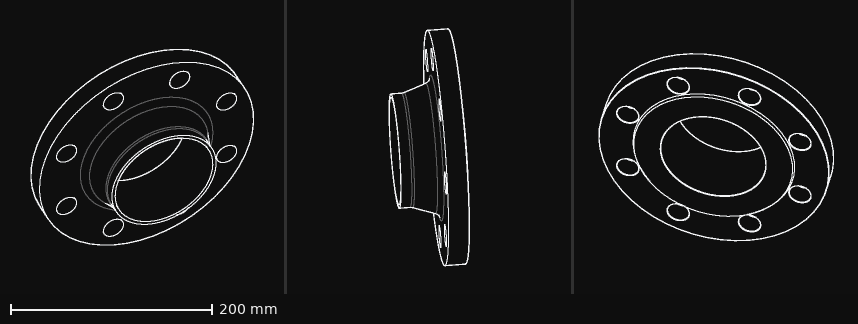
import cadquery as cq
import math


total_length = 65.0
flange_diameter = 235.0
pipe_outer_diameter = 114.3
bore_diameter = 107.1

raised_face_height = 3.0
raised_face_diameter = 162.0
raised_face_rim_angle = 25.0
flange_back = 24.0
edge_chamfer = 0.5

hub_root_diameter = 134.0
weld_end_length = 12.0
hub_fillet = 8.0

bolt_circle_diameter = 190.0
bolt_hole_diameter = 22.0
bolt_count = 8

flange_radius = flange_diameter / 2
pipe_radius = pipe_outer_diameter / 2
bore_radius = bore_diameter / 2
face_radius = raised_face_diameter / 2
raised_face_flare = raised_face_height * math.tan(math.radians(raised_face_rim_angle))
hub_root_radius = hub_root_diameter / 2
cone_end = total_length - weld_end_length

cone_angle = math.atan2(hub_root_radius - pipe_radius, cone_end - flange_back)
root_setback = hub_fillet * math.tan((math.pi / 2 - cone_angle) / 2)
neck_setback = hub_fillet * math.tan(cone_angle / 2)


def along_cone(x, radius, distance):
    """Point on the cone line, a signed distance from (x, radius) towards the pipe end."""
    return (x + distance * math.cos(cone_angle), radius - distance * math.sin(cone_angle))


def make_body():
    """Revolve the half section about the X axis."""
    root_start = (flange_back, hub_root_radius + root_setback)
    root_end = along_cone(flange_back, hub_root_radius, root_setback)
    neck_start = along_cone(cone_end, pipe_radius, -neck_setback)
    neck_end = (cone_end + neck_setback, pipe_radius)
    profile = (
        cq.Workplane("XZ")
        .moveTo(edge_chamfer, bore_radius)
        .lineTo(0, bore_radius + edge_chamfer)
        .lineTo(0, face_radius)
        .lineTo(raised_face_height, face_radius + raised_face_flare)
        .lineTo(raised_face_height, flange_radius - edge_chamfer)
        .lineTo(raised_face_height + edge_chamfer, flange_radius)
        .lineTo(flange_back, flange_radius)
        .lineTo(*root_start)
        .radiusArc(root_end, -hub_fillet)
        .lineTo(*neck_start)
        .radiusArc(neck_end, -hub_fillet)
        .lineTo(total_length, pipe_radius)
        .lineTo(total_length, bore_radius)
        .close()
    )
    return profile.revolve(360, (0, 0, 0), (1, 0, 0))


def make_bolt_hole(centre_y, centre_z):
    """Cutter for one bolt hole through the plate, chamfered at the plate's front face."""
    hole_radius = bolt_hole_diameter / 2
    section = (
        cq.Workplane("XZ")
        .moveTo(0, 0)
        .lineTo(0, hole_radius + edge_chamfer)
        .lineTo(raised_face_height, hole_radius + edge_chamfer)
        .lineTo(raised_face_height + edge_chamfer, hole_radius)
        .lineTo(flange_back, hole_radius)
        .lineTo(flange_back, 0)
        .close()
    )
    return section.revolve(360, (0, 0, 0), (1, 0, 0)).translate((0, centre_y, centre_z))


def cut_bolt_holes(body):
    """Cut the bolt circle, with holes straddling the horizontal and vertical centre lines."""
    pitch_radius = bolt_circle_diameter / 2
    for index in range(bolt_count):
        angle = 2 * math.pi * (index + 0.5) / bolt_count
        hole = make_bolt_hole(pitch_radius * math.cos(angle), pitch_radius * math.sin(angle))
        body = body.cut(hole)
    return body


result = cut_bolt_holes(make_body())